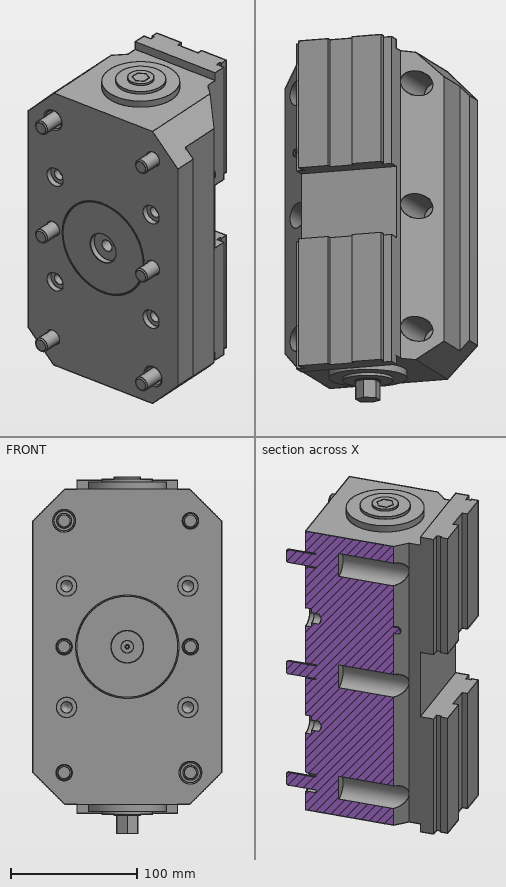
import cadquery as cq
import math

flange_width = 150.0
flange_thickness = 19.8
body_width = 134.1
neck_width = 80.0
body_side_top = 57.2
body_length = 250.2
body_depth = 93.7
corner_chamfer = 25.5

jaw_top = 115.0
jaw_step = 105.0
rail_lip = 109.0
rail_neck_width = 66.2
rail_width = 69.5
rail_slot_width = 20.0
rail_slot_depth = 4.5
jaw_outer_end = 132.2
jaw_gap = 57.7

spindle_height = 49.0
cover_diameter = 62.0
cover_thickness = 5.7
collar_diameter = 40.0
collar_thickness = 2.3
shaft_diameter = 21.0
shaft_top = 134.7
shaft_bottom = 134.0
drive_hex_flats = 17.0
drive_hex_end = 148.3
socket_hex_flats = 12.0
socket_depth = 0.3

bolt_x = 50.0
bolt_pitch = 100.0
bolt_diameter = 12.0
bolt_protrusion = 16.0
bolt_tip_chamfer = 1.0
clearance_diameter = 13.0
clearance_depth = 8.5
dowel_bore_diameter = 15.8
dowel_bore_chamfer = 1.0
head_bore_diameter = 20.0
head_bore_floor = 28.3

blind_offset = 48.0
blind_bore_diameter = 16.0
blind_bore_depth = 5.0
blind_drill_diameter = 9.0
blind_drill_depth = 11.3
drill_tip_angle = 118.0

ring_outer_diameter = 82.0
ring_inner_diameter = 80.0
ring_depth = 1.0
centre_bore_diameter = 25.5
centre_bore_depth = 5.0
centre_bore_chamfer = 0.3
centre_pilot_diameter = 10.0
centre_pilot_depth = 14.2
centre_drill_diameter = 2.3
centre_drill_chamfer = 0.5
centre_drill_depth = 19.8

nipple_diameter = 6.2
nipple_height = 4.2
nipple_chamfer = 0.8
nipple_x = 48.5
nipple_z = bolt_pitch / 2
nipple_embed = 2.8

shoulder_run = (body_width - neck_width) / 2
shoulder_top = body_side_top + shoulder_run


def mirrored_outline(half_points):
    """Closed XY outline from its +X half, listed from bottom to top."""
    left_half = [(-x, y) for x, y in reversed(half_points)]
    return cq.Workplane("XY").polyline(half_points + left_half).close()


def along_y(diameter, y_start, y_end, x=0.0, z=0.0):
    """Cylinder parallel to Y between two Y positions."""
    return cq.Workplane(cq.Solid.makeCylinder(
        diameter / 2, y_end - y_start, cq.Vector(x, y_start, z), cq.Vector(0, 1, 0)))


def along_z(diameter, z_start, z_end):
    """Cylinder on the spindle axis between two Z positions."""
    return (cq.Workplane("XY", origin=(0, spindle_height, z_start))
            .circle(diameter / 2).extrude(z_end - z_start))


def hex_along_z(flats, z_start, z_end):
    """Hexagonal bar on the spindle axis with two corners pointing along Y."""
    corner_diameter = flats / math.cos(math.pi / 6)
    return (cq.Workplane("XY", origin=(0, spindle_height, z_start))
            .transformed(rotate=(0, 0, 90))
            .polygon(6, corner_diameter).extrude(z_end - z_start))


def bevel_along_y(diameter, chamfer, y_start, x=0.0, z=0.0):
    """45-degree cone that bevels the mouth of a bore parallel to Y."""
    return cq.Workplane(cq.Solid.makeCone(
        diameter / 2 + chamfer, diameter / 2, chamfer,
        cq.Vector(x, y_start, z), cq.Vector(0, 1, 0)))


def make_body():
    profile = mirrored_outline([
        (flange_width / 2, 0),
        (flange_width / 2, flange_thickness),
        (body_width / 2, flange_thickness),
        (body_width / 2, body_side_top),
        (neck_width / 2, shoulder_top),
        (neck_width / 2, body_depth),
    ]).extrude(body_length / 2, both=True)
    plan = (cq.Workplane("XZ").rect(flange_width, body_length)
            .extrude(-body_depth).edges("|Y").chamfer(corner_chamfer))
    return profile.intersect(plan)


def make_jaw(z_start, z_end):
    slot_floor = jaw_top - rail_slot_depth
    jaw = mirrored_outline([
        (neck_width / 2, body_depth),
        (neck_width / 2, jaw_step),
        (rail_neck_width / 2, jaw_step),
        (rail_neck_width / 2, rail_lip),
        (rail_width / 2, rail_lip),
        (rail_width / 2, jaw_top),
        (rail_slot_width / 2, jaw_top),
        (rail_slot_width / 2, slot_floor),
    ]).extrude(z_end - z_start)
    return jaw.translate((0, 0, z_start))


def add_spindle(part):
    cover_end = body_length / 2 + cover_thickness
    collar_end = cover_end + collar_thickness
    part = part.union(along_z(cover_diameter, -cover_end, cover_end))
    part = part.union(along_z(collar_diameter, -collar_end, collar_end))
    part = part.union(along_z(shaft_diameter, -shaft_bottom, shaft_top))
    part = part.union(hex_along_z(drive_hex_flats, -drive_hex_end, 0))
    return part.cut(hex_along_z(socket_hex_flats, shaft_top - socket_depth, shaft_top))


def add_bolt(part, x, z, has_dowel):
    bore_diameter = dowel_bore_diameter if has_dowel else clearance_diameter
    part = part.cut(along_y(head_bore_diameter, head_bore_floor, body_depth, x, z))
    part = part.cut(along_y(bore_diameter, 0, clearance_depth, x, z))
    if has_dowel:
        part = part.cut(bevel_along_y(bore_diameter, dowel_bore_chamfer, 0, x, z))
    bolt = along_y(bolt_diameter, -bolt_protrusion, head_bore_floor, x, z)
    return part.union(bolt.faces("<Y").chamfer(bolt_tip_chamfer))


def add_bolts(part):
    for column in (-1, 1):
        for row in (-1, 0, 1):
            has_dowel = column * row == -1
            part = add_bolt(part, column * bolt_x, row * bolt_pitch, has_dowel)
    return part


def cut_blind_holes(part):
    drill_radius = blind_drill_diameter / 2
    tip_length = drill_radius / math.tan(math.radians(drill_tip_angle / 2))
    for x in (-blind_offset, blind_offset):
        for z in (-blind_offset, blind_offset):
            tip = cq.Workplane(cq.Solid.makeCone(
                drill_radius, 0, tip_length,
                cq.Vector(x, blind_drill_depth, z), cq.Vector(0, 1, 0)))
            part = part.cut(along_y(blind_bore_diameter, 0, blind_bore_depth, x, z))
            part = part.cut(along_y(blind_drill_diameter, 0, blind_drill_depth, x, z))
            part = part.cut(tip)
    return part


def cut_central_seat(part):
    ring = along_y(ring_outer_diameter, 0, ring_depth).cut(
        along_y(ring_inner_diameter, 0, ring_depth))
    part = part.cut(ring)
    part = part.cut(along_y(centre_bore_diameter, 0, centre_bore_depth))
    part = part.cut(bevel_along_y(centre_bore_diameter, centre_bore_chamfer, 0))
    part = part.cut(along_y(centre_pilot_diameter, 0, centre_pilot_depth))
    part = part.cut(bevel_along_y(
        centre_drill_diameter, centre_drill_chamfer, centre_pilot_depth))
    return part.cut(along_y(centre_drill_diameter, 0, centre_drill_depth))


def add_grease_nipple(part):
    nipple_y = body_side_top + body_width / 2 - nipple_x
    embed_shift = nipple_embed / math.sqrt(2)
    nipple = cq.Workplane(cq.Solid.makeCylinder(
        nipple_diameter / 2, nipple_embed + nipple_height,
        cq.Vector(nipple_x - embed_shift, nipple_y - embed_shift, nipple_z),
        cq.Vector(1, 1, 0)))
    return part.union(nipple.faces(">(1, 1, 0)").chamfer(nipple_chamfer))


result = make_body()
result = result.union(make_jaw(jaw_gap / 2, jaw_outer_end))
result = result.union(make_jaw(-jaw_outer_end, -jaw_gap / 2))
result = add_spindle(result)
result = add_bolts(result)
result = cut_blind_holes(result)
result = cut_central_seat(result)
result = add_grease_nipple(result)